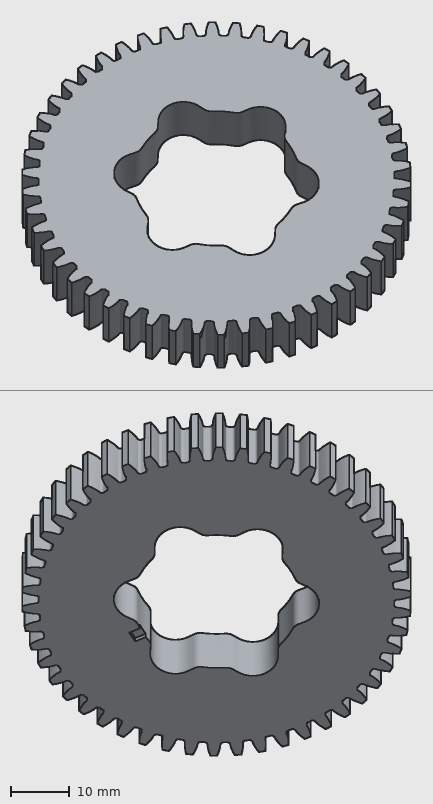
import cadquery as cq
import math

tooth_count = 50
tip_diameter = 66.05
face_width = 9.5

pressure_angle = math.radians(14.5)
module = tip_diameter / (tooth_count + 2)
dedendum = 1.25 * module
backlash = 0.05
root_fillet = 0.5

tip_radius = tip_diameter / 2
pitch_radius = module * tooth_count / 2
base_radius = pitch_radius * math.cos(pressure_angle)
root_radius = pitch_radius - dedendum
pitch_angle = 2 * math.pi / tooth_count

bore_radius = 14.2
lobe_count = 6
lobe_radius = 4.3
lobe_center_radius = 13.15
lobe_blend = 2.0
lobe_flank_angle = math.radians(27)

notch_width = 2.1
notch_length = 2.0
notch_height = 0.9

overcut = 0.65
flank_steps = 6


def polar(radius, angle):
    return (radius * math.cos(angle), radius * math.sin(angle))


def involute(angle):
    return math.tan(angle) - angle


def half_tooth_angle(radius):
    """Angle from the tooth centreline to its flank; radial below the base circle."""
    pitch_half_angle = (math.pi * module / 2 - backlash) / pitch_radius / 2
    local_angle = math.acos(min(1.0, base_radius / radius))
    return pitch_half_angle + involute(pressure_angle) - involute(local_angle)


def gap_cutter():
    """Space between two teeth, centred on the +X axis, with rounded root corners."""
    top_radius = tip_radius + overcut
    radius_step = (top_radius - root_radius) / flank_steps
    radii = [root_radius + radius_step * i for i in range(flank_steps + 1)]
    upper = [polar(r, pitch_angle / 2 - half_tooth_angle(r)) for r in radii]
    lower = [(x, -y) for x, y in upper]
    outline = (
        cq.Workplane("XY")
        .moveTo(*upper[0])
        .spline(upper[1:], includeCurrent=True)
        .lineTo(*lower[-1])
        .spline(lower[-2::-1], includeCurrent=True)
        .threePointArc((root_radius, 0), upper[0])
        .close()
    )
    return outline.extrude(face_width).edges("|Z and <X").fillet(root_fillet)


def bore_cutter():
    """Round bore with six round lobes, the first on +Y, each blended into the bore.

    A lobe flank is a straight line tangent to the lobe arc, leaning in by the flank angle.
    A blend arc, centred outside the bore, joins that line to the bore arc.
    """
    normal_angle = math.pi / 2 - lobe_flank_angle
    flank_offset = lobe_center_radius * math.cos(normal_angle) + lobe_radius
    blend_center_radius = bore_radius + lobe_blend
    blend_angle = normal_angle - math.acos((flank_offset + lobe_blend) / blend_center_radius)
    center_x, center_y = polar(blend_center_radius, blend_angle)

    def on_blend(direction):
        dx, dy = polar(lobe_blend, direction)
        return (center_x - dx, center_y - dy)

    def place(point, axis_angle, side=1):
        """Turn a point drawn beside a +X lobe to the lobe at axis_angle; side -1 mirrors it."""
        x, y = point
        return polar(math.hypot(x, y), axis_angle + side * math.atan2(y, x))

    bore_end = on_blend(blend_angle)
    blend_middle = on_blend((blend_angle + normal_angle) / 2)
    flank_end = on_blend(normal_angle)
    tangent_dx, tangent_dy = polar(lobe_radius, normal_angle)
    lobe_end = (lobe_center_radius + tangent_dx, tangent_dy)
    lobe_crest = (lobe_center_radius + lobe_radius, 0)

    lobe_pitch = 2 * math.pi / lobe_count
    outline = cq.Workplane("XY").moveTo(*place(bore_end, math.pi / 2, -1))
    for i in range(lobe_count):
        axis = math.pi / 2 + i * lobe_pitch
        outline = (
            outline.threePointArc(place(blend_middle, axis, -1), place(flank_end, axis, -1))
            .lineTo(*place(lobe_end, axis, -1))
            .threePointArc(place(lobe_crest, axis), place(lobe_end, axis))
            .lineTo(*place(flank_end, axis))
            .threePointArc(place(blend_middle, axis), place(bore_end, axis))
            .threePointArc(polar(bore_radius, axis + lobe_pitch / 2), place(bore_end, axis + lobe_pitch, -1))
        )
    return outline.close().extrude(face_width)


def notch_cutter():
    """Rectangular notch in the lower face, cut outward into the +X wall of the bore."""
    return (
        cq.Workplane("XY")
        .center(bore_radius, 0)
        .rect(2 * notch_length, notch_width)
        .extrude(notch_height)
    )


blank = cq.Workplane("XY").circle(tip_radius).extrude(face_width)

first_gap_angle = 90 + math.degrees(pitch_angle) / 2
gap = gap_cutter()
gaps = [
    gap.rotate((0, 0, 0), (0, 0, 1), first_gap_angle + i * 360 / tooth_count).val()
    for i in range(tooth_count)
]
gear = blank.cut(cq.Workplane(cq.Compound.makeCompound(gaps)))

result = gear.cut(bore_cutter()).cut(notch_cutter())